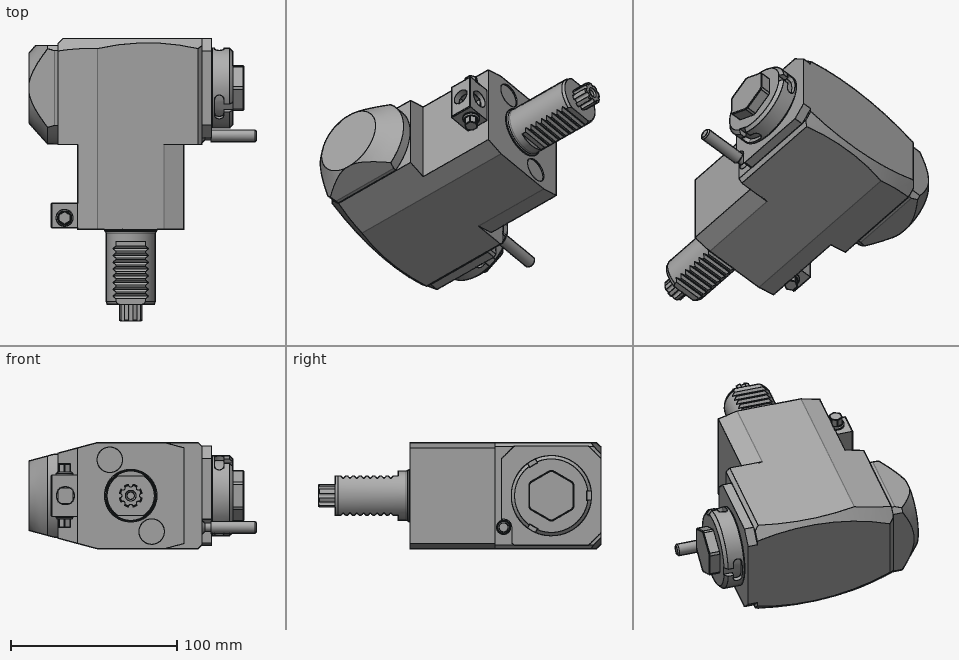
import cadquery as cq
import math


height = 64.0
half_height = height / 2
stem_half_width = half_height
head_left = -43.9
head_right = 42.8
head_front = 51.0
head_back = 115.0
spindle_y = 85.0
taper_start = 20.0
taper_angle = 15.0
taper_slope = math.tan(math.radians(taper_angle))
end_chamfer = 2.4
back_corner_chamfer = 3.2
bevel_radius = 127.5
bevel_center_x = 10.2
bevel_reach = 29.2
bevel_depth = 17.0
plug_x = 12.5
plug_z = 21.6
plug_radius = 7.6
plug_recess = 0.8

cap_left = -61.2
cap_cone_end = -50.0
cap_step_x = -45.9
cap_face_radius = 21.0
cap_radius = 33.7
cap_back = 110.7

shank_diameter = 29.8
shank_radius = shank_diameter / 2
shank_end = -45.0
end_taper_length = 1.9
end_taper_depth = 0.7
seat_radius = 15.8
seat_thickness = 0.7
seat_neck_radius = 15.1
seat_neck_y = -1.4
seat_taper_end = -2.4
flat_height = 11.9
flat_start = -7.1
tooth_count = 8
tooth_pitch = 4.0
first_tooth_y = -11.5
tooth_depth = 1.5

spline_end = head_back - 170.0
spline_radius = 7.0
spline_chamfer = 0.7
spline_grooves = 8
groove_radius = 1.4
groove_center = 6.6
center_hole_radius = 2.2
center_mouth_radius = 3.2
center_hole_depth = 5.1

flange_right = 48.6
flange_half = 30.0
flange_corner = 7.6
notch_radius = 5.0
collar_gap = 0.5
collar_neck_radius = 23.3
collar_radius = 24.1
collar_end = 61.4
collar_chamfer = 2.0
nut_end = 68.0
nut_flats = 27.0
nut_corner_radius = 15.1
nut_chamfer = 0.5

bayonet_count = 3
bayonet_angle = 30.0
bayonet_floor = 21.5
bayonet_left = 50.5
bayonet_right = 56.0
bayonet_length = 16.5
bayonet_entry_width = 5.5

pin_y = 56.3
pin_z = -19.0
pin_radius = 3.5
pin_end = 75.6
pin_tip = 0.8
pin_foot_radius = 4.2
pin_neck_start = 44.5
pin_neck_end = 48.1
pin_neck_radius = 2.5

block_left = -48.0
block_front = 1.0
block_back = 15.8
block_half_height = 12.4
block_chamfer = 0.5
cavity_left = -43.7
cavity_right = -34.8
cavity_front = 4.0
cavity_back = 12.8
cavity_half_height = 4.8
side_port_radius = 5.0
side_drill_radius = 1.5
side_drill_depth = 1.7
front_port_radius = 5.5
screw_x = -39.8
screw_y = 7.0
washer_radius = 5.1
washer_top_radius = 4.2
washer_rim = 0.8
washer_thickness = 1.7
screw_flats = 7.1
screw_corner_radius = 3.9
screw_top = 19.2
screw_chamfer = 0.3


def box(x0, x1, y0, y1, z0, z1):
    """Box between two opposite corners."""
    return cq.Workplane("XY").box(x1 - x0, y1 - y0, z1 - z0, centered=False).translate((x0, y0, z0))


def rod_x(radius, x0, x1, y, z):
    """Cylinder parallel to X."""
    return cq.Workplane("YZ", origin=(x0, y, z)).circle(radius).extrude(x1 - x0)


def rod_y(radius, y0, y1, x, z):
    """Cylinder parallel to Y, from y0 to the higher y1."""
    return cq.Workplane("XZ", origin=(x, y1, z)).circle(radius).extrude(y1 - y0)


def hexagon(plane, origin, flats, corner_radius, length):
    """Hexagonal prism, corners on the local Y axis, rounded by a coaxial cylinder."""
    prism = cq.Workplane(plane, origin=origin).polygon(6, flats, circumscribed=True).extrude(length)
    return prism.intersect(cq.Workplane(plane, origin=origin).circle(corner_radius).extrude(length))


def tapered_height(x):
    """Half height of the tapered side at distance |x| from the shank axis."""
    return half_height - (abs(x) - taper_start) * taper_slope


def back_bevel():
    """Conical cutter for the upper back edge of the head."""
    base_y = head_back - bevel_depth
    outside = rod_y(bevel_radius + 3 * bevel_depth, base_y, head_back, 0, 0)
    cone = (
        cq.Workplane("XZ", origin=(0, head_back, 0))
        .circle(bevel_radius)
        .workplane(offset=bevel_depth)
        .circle(bevel_radius + bevel_depth)
        .loft()
    )
    return outside.cut(cone).translate((bevel_center_x, 0, bevel_reach - bevel_radius))


def make_head():
    z_left = tapered_height(head_left)
    z_right = half_height - end_chamfer
    head = (
        cq.Workplane("XZ", origin=(0, head_back, 0))
        .polyline([
            (head_left, -z_left),
            (-taper_start, -half_height),
            (head_right - end_chamfer, -half_height),
            (head_right, -z_right),
            (head_right, z_right),
            (head_right - end_chamfer, half_height),
            (-taper_start, half_height),
            (head_left, z_left),
        ])
        .close()
        .extrude(head_back - head_front)
    )
    head = head.edges("<X and >Y").chamfer(back_corner_chamfer)
    upper_half = box(head_left, head_right, head_front, head_back, 0, half_height)
    cutter = back_bevel().intersect(upper_half)
    return head.cut(cutter).cut(cutter.mirror("XY"))


def make_stem():
    z_side = tapered_height(stem_half_width)
    stem = (
        cq.Workplane("XZ", origin=(0, head_front, 0))
        .polyline([
            (-stem_half_width, -z_side),
            (-taper_start, -half_height),
            (taper_start, -half_height),
            (stem_half_width, -z_side),
            (stem_half_width, z_side),
            (taper_start, half_height),
            (-taper_start, half_height),
            (-stem_half_width, z_side),
        ])
        .close()
        .extrude(head_front)
    )
    for side in (-1, 1):
        stem = stem.cut(rod_y(plug_radius, 0, plug_recess, side * plug_x, -side * plug_z))
    return stem


def make_cap():
    dome = (
        cq.Workplane("XY")
        .polyline([
            (cap_left, 0),
            (cap_left, cap_face_radius),
            (cap_cone_end, cap_radius),
            (head_left, cap_radius),
            (head_left, 0),
        ])
        .close()
        .revolve(360, (0, 0, 0), (1, 0, 0))
        .translate((0, spindle_y, 0))
    )
    z_left = tapered_height(cap_left)
    z_step = tapered_height(cap_step_x)
    envelope = (
        cq.Workplane("XZ", origin=(0, cap_back, 0))
        .polyline([
            (cap_left, -z_left),
            (cap_step_x, -z_step),
            (head_left, -z_step),
            (head_left, z_step),
            (cap_step_x, z_step),
            (cap_left, z_left),
        ])
        .close()
        .extrude(cap_back - head_front)
    )
    return dome.intersect(envelope)


def make_shank():
    shank = (
        cq.Workplane("XY")
        .polyline([
            (0, 0),
            (seat_radius, 0),
            (seat_radius, -seat_thickness),
            (seat_neck_radius, seat_neck_y),
            (shank_radius, seat_taper_end),
            (shank_radius, shank_end + end_taper_length),
            (shank_radius - end_taper_depth, shank_end),
            (0, shank_end),
        ])
        .close()
        .revolve(360, (0, 0, 0), (0, 1, 0))
    )
    flat = box(-shank_radius, shank_radius, shank_end, flat_start, flat_height, shank_radius)
    groove = (
        cq.Workplane("YZ")
        .polyline([
            (-tooth_depth, flat_height),
            (0, flat_height - tooth_depth),
            (tooth_depth, flat_height),
        ])
        .close()
        .extrude(shank_radius, both=True)
    )
    cutter = flat
    for i in range(tooth_count):
        cutter = cutter.union(groove.translate((0, first_tooth_y - i * tooth_pitch, 0)))
    return shank.cut(cutter).cut(cutter.mirror("XY"))


def make_spline():
    spline = rod_y(spline_radius, spline_end, shank_end, 0, 0).faces("<Y").chamfer(spline_chamfer)
    for i in range(spline_grooves):
        angle = math.radians(i * 360 / spline_grooves)
        x = groove_center * math.cos(angle)
        z = groove_center * math.sin(angle)
        spline = spline.cut(rod_y(groove_radius, spline_end, shank_end, x, z))
    mouth_depth = center_mouth_radius - center_hole_radius
    center_hole = (
        cq.Workplane("XY")
        .polyline([
            (0, spline_end),
            (center_mouth_radius, spline_end),
            (center_hole_radius, spline_end + mouth_depth),
            (center_hole_radius, spline_end + center_hole_depth),
            (0, spline_end + center_hole_depth),
        ])
        .close()
        .revolve(360, (0, 0, 0), (0, 1, 0))
    )
    return spline.cut(center_hole)


def make_flange():
    flange = box(
        head_right, flange_right,
        spindle_y - flange_half, spindle_y + flange_half,
        -flange_half, flange_half,
    )
    flange = flange.edges("|X").chamfer(flange_corner)
    pocket = rod_x(notch_radius, head_right, flange_right, pin_y, pin_z)
    notch = box(head_right, flange_right, head_front, pin_y + notch_radius, -half_height, pin_z)
    return flange.cut(pocket).cut(notch)


def bayonet_slot():
    """T-shaped slot in the collar, facing +Z before it is turned into place."""
    width = bayonet_right - bayonet_left
    slot = (
        cq.Workplane("XY", origin=((bayonet_left + bayonet_right) / 2, spindle_y, 0))
        .slot2D(bayonet_length, width, 90)
        .extrude(collar_radius)
    )
    entry = box(
        bayonet_right - width / 2, collar_end,
        spindle_y - bayonet_entry_width / 2, spindle_y + bayonet_entry_width / 2,
        0, collar_radius,
    )
    core = rod_x(bayonet_floor, flange_right, collar_end, spindle_y, 0)
    return slot.union(entry).cut(core)


def make_collar():
    collar = rod_x(collar_radius, flange_right, collar_end, spindle_y, 0)
    collar = collar.faces(">X").chamfer(collar_chamfer)
    gap_end = flange_right + collar_gap
    gap = rod_x(collar_radius, flange_right, gap_end, spindle_y, 0)
    collar = collar.cut(gap.cut(rod_x(collar_neck_radius, flange_right, gap_end, spindle_y, 0)))
    slot = bayonet_slot()
    for i in range(bayonet_count):
        angle = bayonet_angle + i * 360 / bayonet_count
        collar = collar.cut(slot.rotate((0, spindle_y, 0), (1, spindle_y, 0), angle))
    return collar


def make_nut():
    nut = hexagon("YZ", (collar_end, spindle_y, 0), nut_flats, nut_corner_radius, nut_end - collar_end)
    return nut.faces(">X").chamfer(nut_chamfer)


def make_pin():
    return (
        cq.Workplane("XY")
        .polyline([
            (head_right, 0),
            (head_right, pin_foot_radius),
            (pin_neck_start, pin_neck_radius),
            (pin_neck_end, pin_neck_radius),
            (pin_neck_end, pin_radius),
            (pin_end - pin_tip, pin_radius),
            (pin_end, pin_radius - pin_tip),
            (pin_end, 0),
        ])
        .close()
        .revolve(360, (0, 0, 0), (1, 0, 0))
        .translate((0, pin_y, pin_z))
    )


def make_screw():
    """Hexagon screw with a conical washer on the top of the coolant block."""
    washer = (
        cq.Workplane("XZ")
        .polyline([
            (0, block_half_height),
            (washer_radius, block_half_height),
            (washer_radius, block_half_height + washer_rim),
            (washer_top_radius, block_half_height + washer_thickness),
            (0, block_half_height + washer_thickness),
        ])
        .close()
        .revolve(360, (0, 0, 0), (0, 1, 0))
    )
    head_length = screw_top - block_half_height
    head = hexagon("XY", (0, 0, block_half_height), screw_flats, screw_corner_radius, head_length)
    head = head.faces(">Z").chamfer(screw_chamfer)
    return washer.union(head).translate((screw_x, screw_y, 0))


def make_coolant_block():
    block = box(
        block_left, -stem_half_width, block_front, block_back, -block_half_height, block_half_height
    )
    block = block.faces("<X").edges().chamfer(block_chamfer)
    cavity = box(
        cavity_left, cavity_right, cavity_front, cavity_back, -cavity_half_height, cavity_half_height
    )
    port_x = (cavity_left + cavity_right) / 2
    port_y = (cavity_front + cavity_back) / 2
    front_port = rod_y(front_port_radius, block_front, cavity_front, port_x, 0)
    side_port = rod_x(side_port_radius, block_left, cavity_left, port_y, 0)
    side_drill = rod_x(side_drill_radius, cavity_right, cavity_right + side_drill_depth, port_y, 0)
    block = block.cut(cavity).cut(front_port).cut(side_port).cut(side_drill)
    screw = make_screw()
    return block.union(screw).union(screw.mirror("XY"))


result = (
    make_head()
    .union(make_stem())
    .union(make_cap())
    .union(make_shank())
    .union(make_spline())
    .union(make_flange())
    .union(make_collar())
    .union(make_nut())
    .union(make_pin())
    .union(make_coolant_block())
)